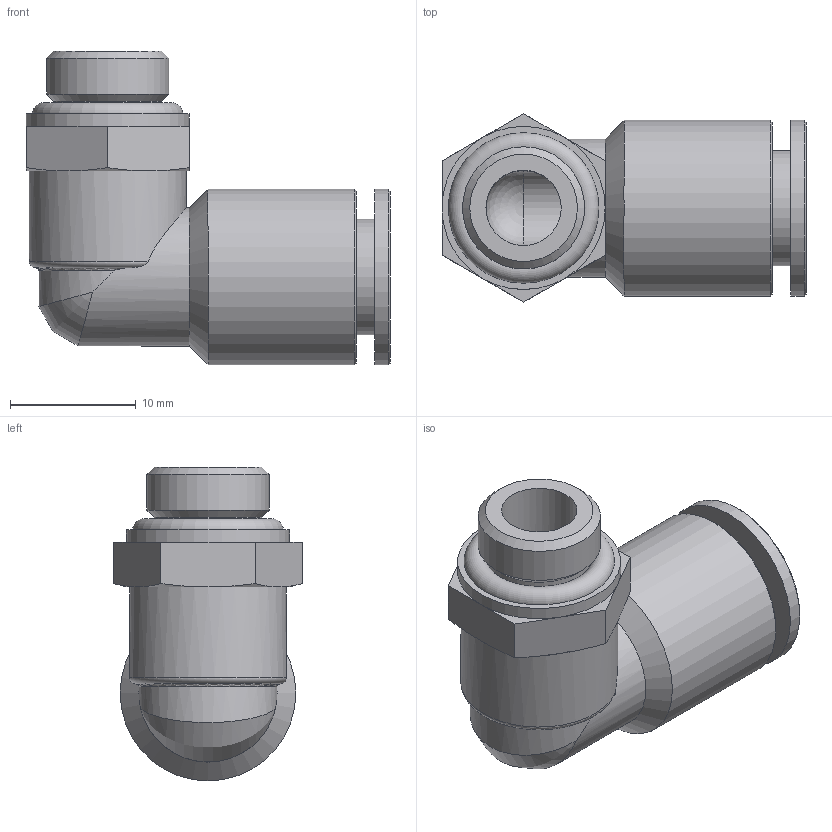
import cadquery as cq
import math


bore_diameter = 6.0
bore_radius = bore_diameter / 2

stem_top = 18.0
thread_diameter = 9.73
thread_end_diameter = 8.57
thread_bottom = 14.0

seal_outer_diameter = 12.0
seal_thickness = 1.9
hex_width = 13.0
hex_bottom = 8.45
hex_top = 12.0
hex_bevel_angle = 15.0
flange_height = 1.0

sleeve_diameter = 12.5
sleeve_bottom = 0.75
sleeve_edge_radius = 0.5

elbow_diameter = 11.0
elbow_radius = elbow_diameter / 2
heel_pivot = -1.2
heel_tilt = 15.0
heel_sweep = 90.0 - 2 * heel_tilt

port_diameter = 14.0
port_start = 6.5
port_end = 19.8
port_edge_chamfer = 0.15
collar_neck_diameter = 9.2
collar_start = 21.3
collar_end = 22.5


def turned(profile):
    """Solid turned about Z from (radius, height) points."""
    return cq.Workplane("XZ").polyline(profile).close().revolve(360, (0, 0), (0, 1))


def swap_x_and_z(solid):
    """Half turn about the X = Z diagonal, which lays the Z axis onto X."""
    return solid.rotate((0, 0, 0), (1, 0, 1), 180)


def threaded_stem():
    thread_radius = thread_diameter / 2
    end_radius = thread_end_diameter / 2
    chamfer = thread_radius - end_radius
    return turned([
        (0, hex_bottom),
        (end_radius, hex_bottom),
        (end_radius, thread_bottom),
        (thread_radius, thread_bottom + chamfer),
        (thread_radius, stem_top - chamfer),
        (end_radius, stem_top),
        (0, stem_top),
    ])


def seal_ring():
    section_radius = seal_thickness / 2
    ring_radius = (seal_outer_diameter - seal_thickness) / 2
    ring = cq.Solid.makeTorus(ring_radius, section_radius, cq.Vector(0, 0, hex_top + section_radius))
    return cq.Workplane(ring)


def hexagon():
    corner_radius = hex_width / math.sqrt(3)
    flat_radius = hex_width / 2
    bevel_rise = (corner_radius - flat_radius) * math.tan(math.radians(hex_bevel_angle))
    prism = (
        cq.Workplane("XY", origin=(0, 0, hex_bottom))
        .polygon(6, 2 * corner_radius)
        .extrude(hex_top - hex_bottom)
        .rotate((0, 0, 0), (0, 0, 1), 30)
    )
    bevelled_blank = turned([
        (0, hex_bottom),
        (flat_radius, hex_bottom),
        (corner_radius, hex_bottom + bevel_rise),
        (corner_radius, hex_top),
        (0, hex_top),
    ])
    flange = cq.Workplane("XY", origin=(0, 0, hex_top)).circle(flat_radius).extrude(flange_height)
    return prism.intersect(bevelled_blank).union(flange)


def sleeve():
    """Sleeve with a rounded lower rim that runs into the elbow through a small fillet."""
    outer_radius = sleeve_diameter / 2
    rim_radius = outer_radius - sleeve_edge_radius
    root_radius = rim_radius - elbow_radius
    root_bottom = sleeve_bottom - root_radius
    diagonal = math.sqrt(0.5)
    rim_middle = (
        rim_radius + sleeve_edge_radius * diagonal,
        sleeve_bottom + sleeve_edge_radius * (1 - diagonal),
    )
    root_middle = (
        rim_radius - root_radius * diagonal,
        root_bottom + root_radius * diagonal,
    )
    return (
        cq.Workplane("XZ")
        .moveTo(0, hex_bottom)
        .lineTo(outer_radius, hex_bottom)
        .lineTo(outer_radius, sleeve_bottom + sleeve_edge_radius)
        .threePointArc(rim_middle, (rim_radius, sleeve_bottom))
        .threePointArc(root_middle, (elbow_radius, root_bottom))
        .lineTo(0, root_bottom)
        .close()
        .revolve(360, (0, 0), (0, 1))
    )


def elbow_leg():
    """Upright leg, cut off by the heel's end face and by the X = Z mitre."""
    leg_top = port_start
    heel_edge = heel_pivot - (elbow_diameter + heel_pivot) * math.tan(math.radians(heel_tilt))
    cylinder = (
        cq.Workplane("XY", origin=(0, 0, -elbow_diameter))
        .circle(elbow_radius)
        .extrude(elbow_diameter + leg_top)
    )
    kept_region = (
        cq.Workplane("XZ")
        .polyline([
            (heel_pivot, heel_pivot),
            (-elbow_diameter, heel_edge),
            (-elbow_diameter, leg_top),
            (leg_top, leg_top),
        ])
        .close()
        .extrude(elbow_radius, both=True)
    )
    return cylinder.intersect(kept_region)


def elbow_heel():
    """Rounded outer corner: the oblique section of a leg turned about the pivot line."""
    tilt = math.radians(heel_tilt)
    outward = cq.Vector(-math.cos(tilt), 0, -math.sin(tilt))
    across = cq.Vector(0, 1, 0)
    leg_axis_height = heel_pivot * (1 - math.tan(tilt))
    section_plane = cq.Plane(origin=(0, 0, leg_axis_height), xDir=outward, normal=outward.cross(across))
    pivot_offset = -heel_pivot / math.cos(tilt)
    half_angle = math.degrees(math.acos(-heel_pivot / elbow_radius))
    return (
        cq.Workplane(section_plane)
        .ellipseArc(
            elbow_radius / math.cos(tilt), elbow_radius, -half_angle, half_angle, startAtCurrent=False
        )
        .close()
        .revolve(heel_sweep, (pivot_offset, 0), (pivot_offset, -1))
    )


def tube_port():
    port_radius = port_diameter / 2
    cone_length = port_radius - elbow_radius
    collar_neck_radius = collar_neck_diameter / 2
    upright = turned([
        (0, port_start),
        (elbow_radius, port_start),
        (port_radius, port_start + cone_length),
        (port_radius, port_end - port_edge_chamfer),
        (port_radius - port_edge_chamfer, port_end),
        (collar_neck_radius, port_end),
        (collar_neck_radius, collar_start),
        (port_radius, collar_start),
        (port_radius, collar_end - port_edge_chamfer),
        (port_radius - port_edge_chamfer, collar_end),
        (0, collar_end),
    ])
    return swap_x_and_z(upright)


def bore():
    """Two drillings that meet at the origin, with a ball-shaped corner."""
    stem_drilling = cq.Workplane("XY").circle(bore_radius).extrude(stem_top)
    port_drilling = cq.Workplane("YZ").circle(bore_radius).extrude(collar_end)
    corner = cq.Workplane("XY").sphere(bore_radius)
    return stem_drilling.union(port_drilling).union(corner)


leg = elbow_leg()
result = (
    leg.union(swap_x_and_z(leg))
    .union(elbow_heel())
    .union(sleeve())
    .union(hexagon())
    .union(threaded_stem())
    .union(seal_ring())
    .union(tube_port())
    .cut(bore())
)